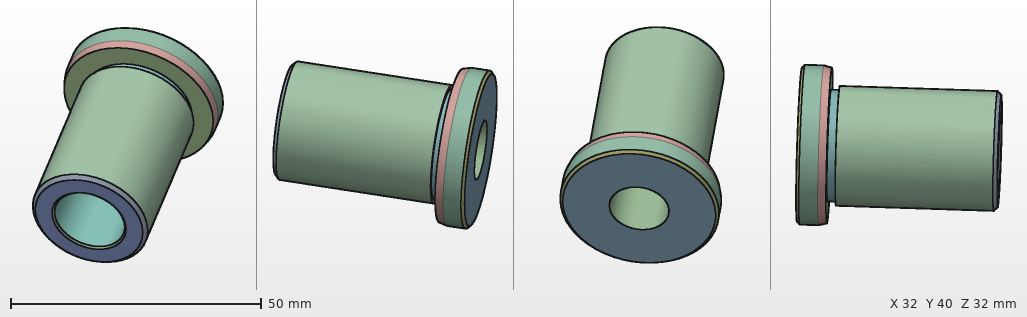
import cadquery as cq

length = 40.0
flange_radius = 16.0
flange_thickness = 6.0
flange_back_chamfer = 0.6
flange_taper_length = 1.7
flange_taper_depth = 0.45
body_radius = 12.0
body_chamfer = 0.8
neck_radius = 11.2
neck_width = 1.7
bore_radius = 7.3
bore_chamfer = 0.4
end_hole_radius = 6.0
bore_cone_length = 0.85
end_hole_length = 20.0

front = -length / 2
back = length / 2
flange_front = back - flange_thickness
neck_front = flange_front - neck_width
cone_end = back - end_hole_length
cone_start = cone_end - bore_cone_length

outside = [
    (body_radius - body_chamfer, front),
    (body_radius, front + body_chamfer),
    (body_radius, neck_front),
    (neck_radius, neck_front),
    (neck_radius, flange_front),
    (flange_radius - flange_taper_depth, flange_front),
    (flange_radius, flange_front + flange_taper_length),
    (flange_radius, back - flange_back_chamfer),
    (flange_radius - flange_back_chamfer, back),
]
bore = [
    (end_hole_radius, back),
    (end_hole_radius, cone_end),
    (bore_radius, cone_start),
    (bore_radius, front + bore_chamfer),
    (bore_radius + bore_chamfer, front),
]

half_section = cq.Workplane("XY").polyline(outside + bore).close()
result = half_section.revolve(360, (0, 0, 0), (0, 1, 0))